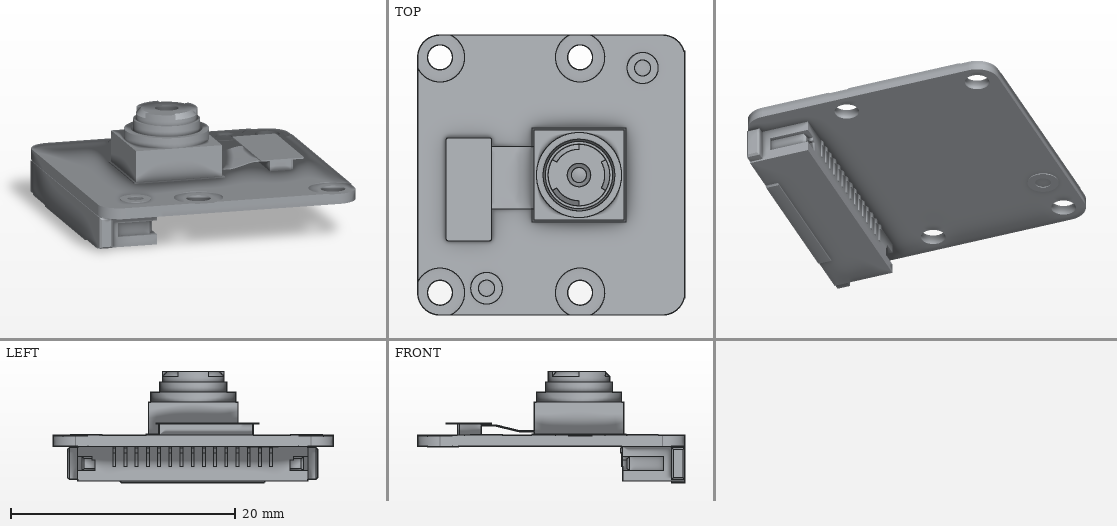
import cadquery as cq
import math


board_length = 23.85
board_width = 25.0
board_thickness = 1.0
board_corner_radius = 2.0

hole_diameter = 2.2
hole_inset = 2.0
hole_spacing = 12.5
land_diameter = 4.4
land_depth = 0.08

mark_height = 0.08
front_mark = {"x": 6.15, "y": -10.1, "outer": 2.82, "inner": 1.45}
back_mark = {"x": 20.08, "y": 9.55, "outer": 2.78, "inner": 1.42}
under_mark = {"x": 2.25, "y": -6.18, "outer": 2.78, "inner": 1.42}

camera_x = 14.4
pad_side = 8.4
pad_height = 0.1
camera_side = 8.0
camera_height = 2.95
collar_diameter = 7.6
collar_height = 0.9
barrel_diameter = 6.0
barrel_height = 0.9
cap_diameter = 5.5
cap_height = 0.95
groove_size = 0.2

bevel_count = 3
bevel_angle = 60.0
first_bevel_angle = 90.0
bevel_top_radius = 2.3
bevel_height = 0.45

aperture_diameter = 2.1
aperture_depth = 0.58
lens_diameter = 1.35
lens_seat_depth = 0.1
lens_rim_height = 0.22
lens_bulge = 0.1

plug_x_min = 3.55
plug_x_max = 5.7
plug_y_min = -5.38
plug_y_max = 3.1
plug_chamfer_x = 0.2
plug_chamfer_y = 0.1
stiffener_x = 4.58
stiffener_y = -1.28
stiffener_length = 4.05
stiffener_width = 9.2
stiffener_thickness = 0.1
stiffener_radius = 0.2
stiffener_rise = 1.1

ribbon_y = -0.25
ribbon_width = 5.55
ribbon_thickness = 0.1
ribbon_plug_z = 1.8
ribbon_camera_z = 1.3
ribbon_bend_start = 7.0
ribbon_bend_end = 9.1

connector_y = 0.05
housing_x = 18.3
housing_width = 20.55
housing_height = 3.1
latch_x = 22.65
latch_width = 22.35
latch_top_gap = 0.1
latch_height = 2.85
latch_chamfer = 0.18
tab_width = 13.0
tab_bottom = 3.25
tab_chamfer = tab_bottom - housing_height

recess_top = 0.9
recess_bottom = 2.18
recess_end = 21.95
recess_depth = 0.4
mouth_width = 1.58
mouth_notch_width = 1.28
mouth_notch_bottom = 1.22
mouth_depth = 0.6
block_setback = 0.4
block_chamfer = 0.2

contact_count = 15
contact_pitch = 1.0
contact_width = 0.25
contact_reach = 0.1
contact_height = 1.78
foot_reach = 0.2
foot_top = 0.12
foot_bottom = 0.58


def box(x_min, x_max, y_min, y_max, z_min, z_max):
    """Axis-aligned box between the given limits."""
    size = (x_max - x_min, y_max - y_min, z_max - z_min)
    return cq.Workplane("XY").box(*size, centered=False).translate((x_min, y_min, z_min))


def cylinder(x, y, z, diameter, height):
    """Upright cylinder standing at height z."""
    return cq.Workplane("XY").circle(diameter / 2).extrude(height).translate((x, y, z))


def make_board():
    half_width = board_width / 2
    board = box(0, board_length, -half_width, half_width, 0, board_thickness)
    board = board.edges("|Z").fillet(board_corner_radius)
    for x in (hole_inset, hole_inset + hole_spacing):
        for y in (hole_inset - half_width, half_width - hole_inset):
            board = board.cut(cylinder(x, y, 0, hole_diameter, board_thickness))
            board = board.cut(cylinder(x, y, board_thickness - land_depth, land_diameter, land_depth))
    return board


def make_mark(mark, z):
    """Thin raised ring with its underside at height z."""
    ring = cylinder(mark["x"], mark["y"], z, mark["outer"], mark_height)
    return ring.cut(cylinder(mark["x"], mark["y"], z, mark["inner"], mark_height))


def make_camera():
    block_top = board_thickness + camera_height
    collar_top = block_top + collar_height
    barrel_top = collar_top + barrel_height
    cap_top = barrel_top + cap_height

    pad = cq.Workplane("XY").rect(pad_side, pad_side).extrude(pad_height)
    pad = pad.translate((camera_x, 0, board_thickness))
    block = cq.Workplane("XY").rect(camera_side, camera_side).extrude(camera_height)
    block = block.translate((camera_x, 0, board_thickness))
    camera = pad.union(block).union(make_lens_barrel(block_top, collar_top, barrel_top, cap_top))
    for index in range(bevel_count):
        angle = first_bevel_angle + index * 360 / bevel_count
        camera = camera.cut(make_bevel_cutter(angle, cap_top))
    return camera


def make_lens_barrel(block_top, collar_top, barrel_top, cap_top):
    """Stepped barrel with a groove at its foot and a domed lens in the aperture."""
    collar_radius = collar_diameter / 2
    barrel_radius = barrel_diameter / 2
    cap_radius = cap_diameter / 2
    aperture_radius = aperture_diameter / 2
    lens_radius = lens_diameter / 2
    seat_z = cap_top - aperture_depth
    lens_foot_z = seat_z - lens_seat_depth
    lens_edge_z = lens_foot_z + lens_rim_height
    lens_top_z = lens_edge_z + lens_bulge
    sphere_radius = (lens_radius**2 + lens_bulge**2) / (2 * lens_bulge)
    arc_radius = lens_radius / 2
    arc_z = lens_top_z - sphere_radius + math.sqrt(sphere_radius**2 - arc_radius**2)
    profile = (
        cq.Workplane("XZ")
        .moveTo(0, block_top)
        .lineTo(collar_radius, block_top)
        .lineTo(collar_radius, collar_top)
        .lineTo(barrel_radius + groove_size, collar_top)
        .lineTo(barrel_radius, collar_top - groove_size)
        .lineTo(barrel_radius, barrel_top)
        .lineTo(cap_radius, barrel_top)
        .lineTo(cap_radius, cap_top)
        .lineTo(aperture_radius, cap_top)
        .lineTo(aperture_radius, seat_z)
        .lineTo(lens_radius, lens_foot_z)
        .lineTo(lens_radius, lens_edge_z)
        .threePointArc((arc_radius, arc_z), (0, lens_top_z))
        .close()
    )
    return profile.revolve(360, (0, 0, 0), (0, 1, 0)).translate((camera_x, 0, 0))


def make_bevel_cutter(start_angle, cap_top):
    """Triangular section swept around part of the cap rim."""
    cap_radius = cap_diameter / 2
    section = (
        cq.Workplane("XZ")
        .moveTo(bevel_top_radius, cap_top)
        .lineTo(cap_radius, cap_top - bevel_height)
        .lineTo(cap_radius, cap_top)
        .close()
    )
    cutter = section.revolve(bevel_angle, (0, 0, 0), (0, 1, 0))
    return cutter.rotate((0, 0, 0), (0, 0, 1), start_angle).translate((camera_x, 0, 0))


def make_plug():
    """Plug on the board with a thin stiffener plate on top."""
    stiffener_bottom = board_thickness + stiffener_rise - stiffener_thickness
    outline = [
        (plug_x_max, plug_y_min),
        (plug_x_max, plug_y_max),
        (plug_x_min + plug_chamfer_x, plug_y_max),
        (plug_x_min, plug_y_max - plug_chamfer_y),
        (plug_x_min, plug_y_min + plug_chamfer_y),
        (plug_x_min + plug_chamfer_x, plug_y_min),
    ]
    body = cq.Workplane("XY").workplane(offset=board_thickness).polyline(outline).close()
    body = body.extrude(stiffener_bottom - board_thickness)
    plate = cq.Workplane("XY").rect(stiffener_length, stiffener_width).extrude(stiffener_thickness)
    plate = plate.edges("|Z").fillet(stiffener_radius)
    return body.union(plate.translate((stiffener_x, stiffener_y, stiffener_bottom)))


def make_ribbon():
    """Flat flex cable stepping down in an S-bend from the plug to the camera block."""
    camera_face = camera_x - camera_side / 2
    profile = cq.Workplane("XZ").spline(
        [
            (plug_x_max, ribbon_plug_z),
            (ribbon_bend_start, ribbon_plug_z),
            (ribbon_bend_end, ribbon_camera_z),
            (camera_face, ribbon_camera_z),
        ],
        tangents=[(1, 0), (1, 0)],
    )
    profile = profile.lineTo(camera_face, ribbon_camera_z + ribbon_thickness)
    profile = profile.spline(
        [
            (ribbon_bend_end, ribbon_camera_z + ribbon_thickness),
            (ribbon_bend_start, ribbon_plug_z + ribbon_thickness),
            (plug_x_max, ribbon_plug_z + ribbon_thickness),
        ],
        tangents=[(-1, 0), (-1, 0)],
        includeCurrent=True,
    )
    ribbon = profile.close().extrude(ribbon_width)
    return ribbon.translate((0, ribbon_y + ribbon_width / 2, 0))


def make_latch():
    """Cross bar with bevelled ends and a finger tab below it."""
    half_width = latch_width / 2
    bar = box(latch_x, board_length, -half_width, half_width, -latch_top_gap - latch_height, -latch_top_gap)
    bar = bar.faces("<Y or >Y").edges().chamfer(latch_chamfer)
    half_tab = tab_width / 2
    tab = box(latch_x, board_length, -half_tab, half_tab, -tab_bottom, -latch_height)
    tab = tab.edges("|X and <Z").chamfer(tab_chamfer)
    neck = box(latch_x, board_length, -housing_width / 2, housing_width / 2, -housing_height, -latch_top_gap)
    return bar.union(neck).union(tab)


def make_recess():
    """Cutter for the side recess at the -Y end of the housing, open towards -X."""
    side = -housing_width / 2
    floor = side + recess_depth
    block_x = housing_x + block_setback
    mouth_x = housing_x + mouth_depth
    groove = box(housing_x, recess_end, side, floor, -recess_bottom, -recess_top)
    mouth = box(housing_x, mouth_x, side, side + mouth_width, -recess_bottom, -mouth_notch_bottom)
    notch = box(housing_x, mouth_x, side, side + mouth_notch_width, -mouth_notch_bottom, -recess_top)
    block = box(block_x, recess_end, floor, side + mouth_width, -recess_bottom, -recess_top)
    block = block.faces("<X").edges("|Y or <Y").chamfer(block_chamfer)
    return groove.union(mouth).union(notch).cut(block)


def make_contact():
    """Solder contact on the -X face of the housing, with a foot near the board."""
    half_width = contact_width / 2
    strip = box(housing_x - contact_reach, housing_x, -half_width, half_width, -contact_height, 0)
    foot = box(housing_x - foot_reach, housing_x, -half_width, half_width, -foot_bottom, -foot_top)
    return strip.union(foot)


def make_connector():
    half_width = housing_width / 2
    connector = box(housing_x, latch_x, -half_width, half_width, -housing_height, 0)
    recess = make_recess()
    connector = connector.cut(recess).cut(recess.mirror("XZ"))
    connector = connector.union(make_latch())
    contact = make_contact()
    first_contact_y = -(contact_count - 1) / 2 * contact_pitch
    for index in range(contact_count):
        connector = connector.union(contact.translate((0, first_contact_y + index * contact_pitch, 0)))
    return connector.translate((0, connector_y, 0))


camera_board = make_board().union(make_mark(front_mark, board_thickness))
camera_board = camera_board.union(make_mark(back_mark, board_thickness))
camera_board = camera_board.union(make_mark(under_mark, -mark_height))
camera_board = camera_board.union(make_camera()).union(make_plug()).union(make_ribbon())

cable_connector = make_connector()

result = cq.Compound.makeCompound([camera_board.solids().val(), cable_connector.solids().val()])